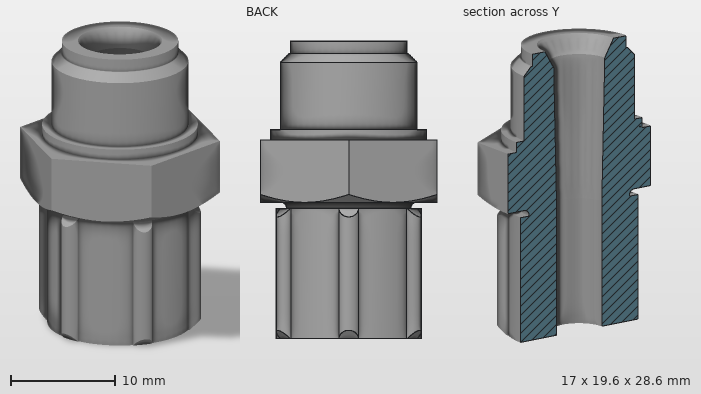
import cadquery as cq
import math

NUT_HEIGHT = 12.5
NECK_GAP = 0.6
HEX_HEIGHT = 6.0
COLLAR_HEIGHT = 1.0
TOTAL_HEIGHT = 28.6
SPIGOT_HEIGHT = 1.2
HEX_BOTTOM = NUT_HEIGHT + NECK_GAP
HEX_TOP = HEX_BOTTOM + HEX_HEIGHT
COLLAR_TOP = HEX_TOP + COLLAR_HEIGHT
SHOULDER = TOTAL_HEIGHT - SPIGOT_HEIGHT

HEX_ACROSS_FLATS = 17.0
HEX_CORNER_RADIUS = HEX_ACROSS_FLATS / math.sqrt(3)
HEX_CHAMFER_ANGLE = 30.0
COLLAR_DIAMETER = 15.0
THREAD_DIAMETER = 13.16
THREAD_CHAMFER = 0.85
SPIGOT_DIAMETER = 11.2
NECK_DIAMETER = 12.0
NECK_FILLET = 0.5

NUT_RADIUS = 7.0
RIB_COUNT = 6
RIB_RADIUS = 0.95
RIB_TIP_RADIUS = 7.92
RIB_CENTRE_RADIUS = RIB_TIP_RADIUS - RIB_RADIUS
RIB_CHAMFER = 0.8

MOUTH_DIAMETER = 8.1
MOUTH_DEPTH = 1.8
TAPER_DIAMETER = 6.0
THROUGH_DIAMETER = 5.3
TAPER_END = NUT_HEIGHT


def cylinder(diameter, bottom, top):
    """Cylinder on the Z axis between two heights."""
    return cq.Workplane("XY").workplane(offset=bottom).circle(diameter / 2).extrude(top - bottom)


def make_nut():
    """Round nut with half-round ribs whose ends are chamfered."""
    ribs = (
        cq.Workplane("XY")
        .polarArray(RIB_CENTRE_RADIUS, 90, 360, RIB_COUNT)
        .circle(RIB_RADIUS)
        .extrude(NUT_HEIGHT)
    )
    rib_envelope = cylinder(2 * RIB_TIP_RADIUS, 0, NUT_HEIGHT).edges().chamfer(RIB_CHAMFER)
    return cylinder(2 * NUT_RADIUS, 0, NUT_HEIGHT).union(ribs.intersect(rib_envelope))


def make_hex():
    """Hexagon with corners on the Y axis and a conical chamfer under its corners."""
    hexagon = (
        cq.Workplane("XY")
        .workplane(offset=HEX_BOTTOM)
        .polygon(6, 2 * HEX_CORNER_RADIUS)
        .extrude(HEX_HEIGHT)
        .rotate((0, 0, 0), (0, 0, 1), 90)
    )
    flat_radius = HEX_ACROSS_FLATS / 2
    chamfer_height = (HEX_CORNER_RADIUS - flat_radius) * math.tan(math.radians(HEX_CHAMFER_ANGLE))
    envelope = (
        cq.Workplane("XZ")
        .moveTo(0, HEX_BOTTOM)
        .lineTo(flat_radius, HEX_BOTTOM)
        .lineTo(HEX_CORNER_RADIUS, HEX_BOTTOM + chamfer_height)
        .lineTo(HEX_CORNER_RADIUS, HEX_TOP)
        .lineTo(0, HEX_TOP)
        .close()
        .revolve(360, (0, 0, 0), (0, 1, 0))
    )
    return hexagon.intersect(envelope)


def make_neck():
    """Short neck between nut and hexagon, flaring into the hexagon with a fillet."""
    neck_radius = NECK_DIAMETER / 2
    return (
        cq.Workplane("XZ")
        .moveTo(0, NUT_HEIGHT)
        .lineTo(neck_radius, NUT_HEIGHT)
        .lineTo(neck_radius, HEX_BOTTOM - NECK_FILLET)
        .radiusArc((neck_radius + NECK_FILLET, HEX_BOTTOM), NECK_FILLET)
        .lineTo(0, HEX_BOTTOM)
        .close()
        .revolve(360, (0, 0, 0), (0, 1, 0))
    )


def make_threaded_end():
    """Collar, chamfered thread cylinder and spigot above the hexagon."""
    collar = cylinder(COLLAR_DIAMETER, HEX_TOP, COLLAR_TOP)
    thread = cylinder(THREAD_DIAMETER, COLLAR_TOP, SHOULDER).faces(">Z").chamfer(THREAD_CHAMFER)
    spigot = cylinder(SPIGOT_DIAMETER, SHOULDER, TOTAL_HEIGHT)
    return collar.union(thread).union(spigot)


def make_bore():
    """Cutter for the whole bore."""
    return (
        cq.Workplane("XZ")
        .lineTo(THROUGH_DIAMETER / 2, 0)
        .lineTo(THROUGH_DIAMETER / 2, TAPER_END)
        .lineTo(TAPER_DIAMETER / 2, TOTAL_HEIGHT - MOUTH_DEPTH)
        .lineTo(MOUTH_DIAMETER / 2, TOTAL_HEIGHT)
        .lineTo(0, TOTAL_HEIGHT)
        .close()
        .revolve(360, (0, 0, 0), (0, 1, 0))
    )


fitting = make_nut().union(make_neck()).union(make_hex()).union(make_threaded_end())
result = fitting.cut(make_bore())